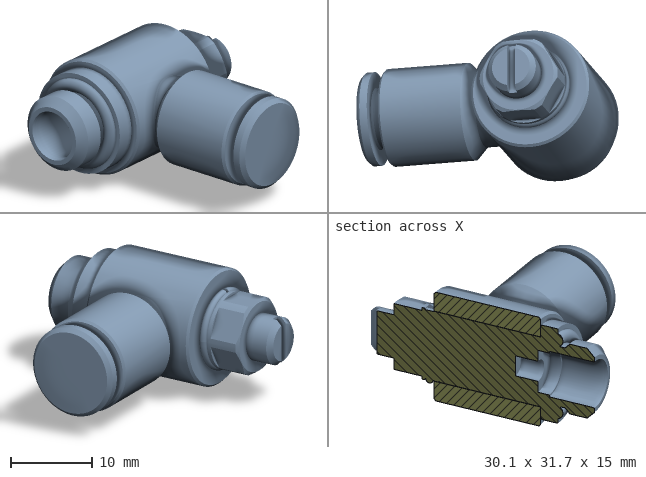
import cadquery as cq
import math


barrel_radius = 7.5
barrel_half_length = 7.5
edge_chamfer = 0.3
core_radius = 4.75

branch_neck_radius = 4.55
branch_neck_end = 7.75
branch_radius = 6.03
branch_cone_end = branch_neck_end + branch_radius - branch_neck_radius
branch_end = 19.75
saddle_fillet = 0.2

sleeve_neck_radius = 3.6
sleeve_flare = 0.25
sleeve_flange_start = 21.15
sleeve_flange_radius = 5.78
sleeve_chamfer = 0.5
sleeve_end = 22.6

bolt_bottom = -15.05
collar_radius = 6.5
collar_chamfer = 0.15
collar_face = -9.9
seal_ring_radius = 4.95
seal_section_radius = 0.92
seal_center = -9.68
thread_neck_radius = 4.15
thread_neck_end = -10.9
thread_radius = 4.83
thread_start = thread_neck_end - (thread_radius - thread_neck_radius)
thread_chamfer = 1.08
port_mouth_radius = 3.18
port_mouth_depth = 0.32
port_radius = 3.1
port_depth = 6.35
port_step_radius = 2.85
port_step_depth = 1.6
inner_hole_radius = 1.35
inner_hole_depth = 3.18

clip_start = 7.6
clip_end = 8.67
clip_radius = 5.25
clip_gap = 0.5
hex_start = 9.2
hex_end = 13.1
hex_round_radius = 4.95
hex_apothem = 4.55
hex_top_radius = 4.48
hex_chamfer_height = 0.3
screw_radius = 3.02
screw_top = 16.7
screw_chamfer = 0.65
slot_width = 1.02
slot_depth = 1.25


def turned(radius_y_points):
    """Solid of revolution about Y from (radius, y) points."""
    return cq.Workplane("XY").polyline(radius_y_points).close().revolve(360, (0, 0), (0, 1))


def cylinder_along_y(radius, start, end):
    return cq.Workplane("XZ", origin=(0, start, 0)).circle(radius).extrude(start - end)


def make_elbow():
    barrel = cylinder_along_y(barrel_radius, -barrel_half_length, barrel_half_length)
    barrel = barrel.faces("<Y or >Y").chamfer(edge_chamfer)

    neck = cq.Workplane("YZ").circle(branch_neck_radius).extrude(branch_neck_end)
    elbow = barrel.union(neck)
    saddle_box = cq.selectors.BoxSelector(
        (branch_neck_radius, -barrel_radius, -barrel_radius),
        (branch_neck_end - edge_chamfer, barrel_radius, barrel_radius),
    )
    elbow = elbow.edges(saddle_box).edges("not %CIRCLE").fillet(saddle_fillet)

    branch_profile = [
        (branch_neck_end, 0),
        (branch_neck_end, branch_neck_radius),
        (branch_cone_end, branch_radius),
        (branch_end - edge_chamfer, branch_radius),
        (branch_end, branch_radius - edge_chamfer),
        (branch_end, sleeve_neck_radius),
        (sleeve_flange_start - sleeve_flare, sleeve_neck_radius),
        (sleeve_flange_start, sleeve_neck_radius + sleeve_flare),
        (sleeve_flange_start, sleeve_flange_radius),
        (sleeve_end - sleeve_chamfer, sleeve_flange_radius),
        (sleeve_end, sleeve_flange_radius - sleeve_chamfer),
        (sleeve_end, 0),
    ]
    branch = cq.Workplane("XY").polyline(branch_profile).close().revolve(360, (0, 0), (1, 0))

    bore = cylinder_along_y(core_radius, -barrel_half_length, barrel_half_length)
    return elbow.union(branch).cut(bore)


def make_thread_end():
    """Collar, neck and thread below the barrel."""
    return turned([
        (0, -barrel_half_length),
        (collar_radius - collar_chamfer, -barrel_half_length),
        (collar_radius, -barrel_half_length - collar_chamfer),
        (collar_radius, collar_face),
        (thread_neck_radius, collar_face),
        (thread_neck_radius, thread_neck_end),
        (thread_radius, thread_start),
        (thread_radius, bolt_bottom + thread_chamfer),
        (thread_radius - thread_chamfer, bolt_bottom),
        (0, bolt_bottom),
    ])


def make_seal_ring():
    section = cq.Workplane("XY").center(seal_ring_radius, seal_center).circle(seal_section_radius)
    return section.revolve(360, (-seal_ring_radius, 0), (-seal_ring_radius, 1))


def make_port():
    """Stepped bore that opens at the thread end."""
    port_shoulder = bolt_bottom + port_depth
    port_floor = port_shoulder + port_step_depth
    return turned([
        (0, bolt_bottom),
        (port_mouth_radius, bolt_bottom),
        (port_radius, bolt_bottom + port_mouth_depth),
        (port_radius, port_shoulder),
        (port_step_radius, port_shoulder),
        (port_step_radius, port_floor),
        (inner_hole_radius, port_floor),
        (inner_hole_radius, port_floor + inner_hole_depth),
        (0, port_floor + inner_hole_depth),
    ])


def make_clip_ring():
    """Round-edged split ring with its gap on the +Z side."""
    middle = (clip_start + clip_end) / 2
    section_radius = (clip_end - clip_start) / 2
    straight_end = clip_radius - section_radius
    ring = (
        cq.Workplane("XY")
        .moveTo(0, clip_start)
        .lineTo(straight_end, clip_start)
        .threePointArc((clip_radius, middle), (straight_end, clip_end))
        .lineTo(0, clip_end)
        .close()
        .revolve(360, (0, 0), (0, 1))
    )
    gap = cq.Workplane("XY").box(clip_gap, clip_end - clip_start, clip_radius, centered=(True, True, False))
    return ring.cut(gap.translate((0, middle, 0)))


def make_hexagon():
    """Round flange that continues into a hexagon with rounded, chamfered corners."""
    blank = turned([
        (0, clip_end),
        (hex_round_radius, clip_end),
        (hex_round_radius, hex_end - hex_chamfer_height),
        (hex_top_radius, hex_end),
        (0, hex_end),
    ])
    flange = cylinder_along_y(hex_round_radius, clip_end, hex_start)
    corner_diameter = 2 * hex_apothem / math.cos(math.pi / 6)
    prism = cq.Workplane("XZ", origin=(0, hex_start, 0)).polygon(6, corner_diameter)
    prism = prism.extrude(hex_start - hex_end)
    return flange.union(blank.intersect(prism))


def make_screw_end():
    """Slotted, chamfered end of the adjusting screw."""
    screw = cylinder_along_y(screw_radius, hex_end, screw_top).faces(">Y").chamfer(screw_chamfer)
    slot = cq.Workplane("XY").box(slot_width, 2 * slot_depth, 2 * screw_radius)
    return screw.cut(slot.translate((0, screw_top, 0)))


def make_bolt():
    bolt = cylinder_along_y(core_radius, -barrel_half_length, clip_end)
    bolt = bolt.union(make_thread_end()).union(make_seal_ring())
    bolt = bolt.union(make_clip_ring()).union(make_hexagon()).union(make_screw_end())
    return bolt.cut(make_port())


elbow = make_elbow()
bolt = make_bolt()

result = cq.Compound.makeCompound([elbow.val(), bolt.val()])